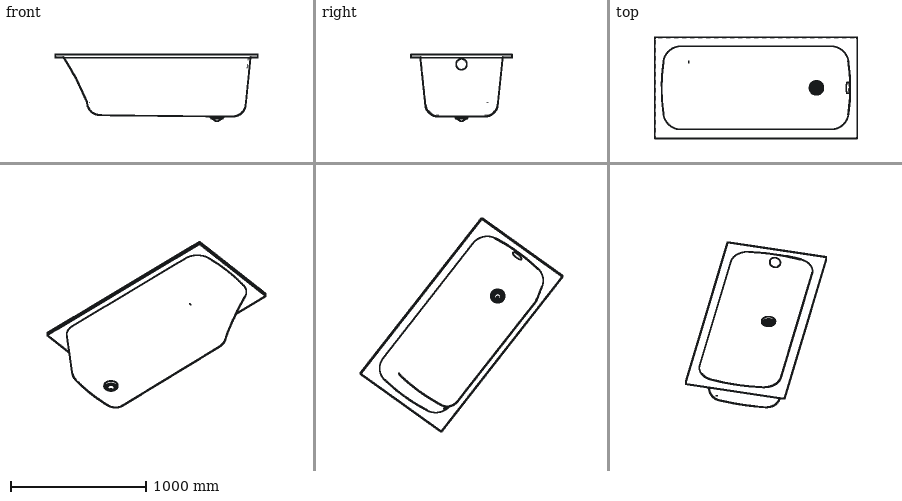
import cadquery as cq
import math


RIM_LENGTH = 1500.0
RIM_WIDTH = 750.0
RIM_HEIGHT = 24.0
RIM_EDGE_RADIUS = 7.0
SHEET = 4.0
MOUTH_RADIUS = 5.0

WALL_LEVELS = [
    (0.0, -702.0, 699.0, 308.0, 132.0),
    (180.0, -597.0, 680.0, 289.0, 115.0),
    (358.0, -516.0, 662.0, 270.0, 97.0),
]
END_WALL_RADIUS = 1300.0
FLOOR_FALL = 0.6
FLOOR_BEND = 98.0
FLOOR_CORNER_RADIUS = 8.0
BEND_STEPS = 5

DRAIN_X = 447.0
SUMP_TOP_RADIUS = 48.5
SUMP_BOTTOM_RADIUS = 35.0
SUMP_DEPTH = 14.0
SUMP_RUNOUT = 1.0
SUMP_WALL = 6.0
DRAIN_HOLE_RADIUS = 24.0
TOTAL_HEIGHT = 496.3
CUP_TOP_RADIUS = 38.0
CUP_TIP_RADIUS = 7.0
PLUG_RADIUS = 34.0
PLUG_RIM_HEIGHT = 3.0
PLUG_CROWN_RADIUS = 20.0
PLUG_CROWN_HEIGHT = 9.0
PLUG_BUTTON_RADIUS = 8.0
PLUG_BUTTON_HEIGHT = 2.0

COVER_RADIUS = 40.0
COVER_DEPTH = 74.0
COVER_THICKNESS = 16.0
COVER_EDGE_RADIUS = 5.0

wall_top = WALL_LEVELS[0]
wall_foot = WALL_LEVELS[-1]
wall_height = wall_foot[0] - wall_top[0]
floor_drop = wall_foot[0] + FLOOR_BEND
fall_slope = math.tan(math.radians(FLOOR_FALL))
floor_top_at_drain = -(floor_drop + DRAIN_X * fall_slope) + SHEET
sump_floor = floor_top_at_drain - SUMP_DEPTH
sump_underside = sump_floor - SHEET


def basin_section(depth, left, right, half_width, corner_radius, fall):
    """Closed outline with straight sides, bowed ends and round corners."""
    bow = END_WALL_RADIUS - math.sqrt(END_WALL_RADIUS**2 - half_width**2)
    outline = (
        cq.Workplane("XY")
        .moveTo(left + bow, -half_width)
        .lineTo(right - bow, -half_width)
        .threePointArc((right, 0), (right - bow, half_width))
        .lineTo(left + bow, half_width)
        .threePointArc((left, 0), (left + bow, -half_width))
        .close()
        .wire()
        .val()
    )
    outline = outline.fillet2D(corner_radius, outline.Vertices())
    tilted = outline.rotate(cq.Vector(0, 0, 0), cq.Vector(0, 1, 0), fall)
    return tilted.translate(cq.Vector(0, 0, -depth))


def basin_form(inset):
    """Solid shape of the basin, its skin moved inwards by the inset."""
    walls = []
    for depth, left, right, half_width, corner in WALL_LEVELS:
        fall = FLOOR_FALL * depth / wall_height
        walls.append(
            basin_section(depth, left + inset, right - inset, half_width - inset, corner - inset, fall)
        )

    depth, left, right, half_width, corner = wall_foot
    bend = FLOOR_BEND - inset
    floor = []
    for step in range(BEND_STEPS + 1):
        angle = math.pi / 2 * step / BEND_STEPS
        drop = bend * math.sin(angle)
        shrink = inset + bend * (1 - math.cos(angle))
        corner_here = FLOOR_CORNER_RADIUS + (corner - inset - FLOOR_CORNER_RADIUS) * math.cos(angle)
        floor.append(
            basin_section(
                depth + drop, left + shrink, right - shrink, half_width - shrink, corner_here, FLOOR_FALL
            )
        )
    upper = cq.Solid.makeLoft(walls)
    lower = cq.Solid.makeLoft(floor)
    return cq.Workplane(upper).union(cq.Workplane(lower))


def rim_block(inset):
    """Rim outline as a solid block, rounded at the corners and the top edge."""
    return (
        cq.Workplane("XY")
        .workplane(offset=-RIM_HEIGHT)
        .rect(RIM_LENGTH - 2 * inset, RIM_WIDTH - 2 * inset)
        .extrude(RIM_HEIGHT - inset)
        .edges("|Z or >Z")
        .fillet(RIM_EDGE_RADIUS - inset)
    )


def revolved_at_drain(points):
    """Turn a (radius, height) outline about the drain axis."""
    turned = cq.Workplane("XZ").polyline(points).close().revolve(360, (0, 0), (0, 1))
    return turned.translate((DRAIN_X, 0, 0))


def sump_form(wall, base):
    """Tapered dish of the drain recess, enlarged by a wall and a base thickness.

    The taper runs on past the level at the drain axis so that it also clears
    the uphill side of the sloping floor.
    """
    taper = (SUMP_TOP_RADIUS - SUMP_BOTTOM_RADIUS) / SUMP_DEPTH
    bottom = sump_floor - base
    return revolved_at_drain([
        (0, floor_top_at_drain + SUMP_RUNOUT),
        (SUMP_TOP_RADIUS + wall + taper * SUMP_RUNOUT, floor_top_at_drain + SUMP_RUNOUT),
        (SUMP_BOTTOM_RADIUS + wall, bottom),
        (0, bottom),
    ])


def make_tub():
    shell = rim_block(0).cut(rim_block(SHEET)).union(basin_form(0)).union(sump_form(SUMP_WALL, SHEET))
    tub = shell.cut(basin_form(SHEET))
    inside_rim = (RIM_LENGTH / 2 - 2 * RIM_EDGE_RADIUS, RIM_WIDTH / 2 - 2 * RIM_EDGE_RADIUS, SHEET / 2)
    below_corner = tuple(-reach for reach in inside_rim)
    tub = tub.edges(cq.selectors.BoxSelector(below_corner, inside_rim)).fillet(MOUTH_RADIUS)
    drain_hole = revolved_at_drain([
        (0, sump_floor),
        (DRAIN_HOLE_RADIUS, sump_floor),
        (DRAIN_HOLE_RADIUS, sump_underside),
        (0, sump_underside),
    ])
    return tub.cut(sump_form(0, 0)).cut(drain_hole)


def make_drain_cup():
    """Tapered cup closing the drain hole from below."""
    tip = -TOTAL_HEIGHT
    return revolved_at_drain([
        (0, sump_underside),
        (CUP_TOP_RADIUS, sump_underside),
        (CUP_TIP_RADIUS, tip),
        (0, tip),
    ])


def make_plug():
    """Stepped conical plug resting on the sump floor over the drain hole."""
    rim = sump_floor + PLUG_RIM_HEIGHT
    crown = sump_floor + PLUG_CROWN_HEIGHT
    button = crown + PLUG_BUTTON_HEIGHT
    return revolved_at_drain([
        (0, sump_floor),
        (PLUG_RADIUS, sump_floor),
        (PLUG_RADIUS, rim),
        (PLUG_CROWN_RADIUS, crown),
        (PLUG_BUTTON_RADIUS, crown),
        (PLUG_BUTTON_RADIUS, button),
        (0, button),
    ])


def make_overflow_cover():
    """Round cover square to the foot wall, its back following the wall."""
    wall_slope = (wall_top[2] - wall_foot[2]) / wall_height
    lean = math.atan(wall_slope)
    wall_x = wall_top[2] - SHEET - wall_slope * COVER_DEPTH
    face = cq.Plane(
        origin=(wall_x, 0, -COVER_DEPTH), xDir=(0, 1, 0), normal=(-math.cos(lean), 0, math.sin(lean))
    )
    cover = (
        cq.Workplane(face)
        .workplane(offset=-SHEET)
        .circle(COVER_RADIUS)
        .extrude(COVER_THICKNESS + SHEET)
        .faces("<X")
        .edges()
        .fillet(COVER_EDGE_RADIUS)
    )
    return cover.intersect(basin_form(SHEET))


tub = make_tub()
drain_cup = make_drain_cup()
plug = make_plug()
overflow_cover = make_overflow_cover()

bodies = [tub, drain_cup, plug, overflow_cover]
result = cq.Compound.makeCompound([body.solids().val() for body in bodies])